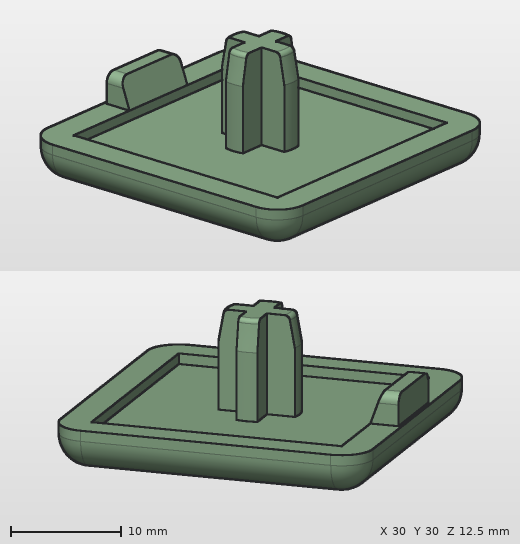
import cadquery as cq
import math

plate_side = 30.0
plate_thickness = 4.0
plate_edge_radius = 3.0
rim_width = 3.0
pocket_depth = 1.0

total_height = 12.5
post_radius = 3.8
post_taper_height = 3.0
post_taper_angle = 10.0
post_tip_fillet = 0.5
arm_width = 2.0

tab_length = 8.2
tab_height = 3.0
tab_setback = 0.3
tab_slope_angle = 20.0
tab_end_radius = 1.0

pocket_side = plate_side - 2 * rim_width
floor_z = plate_thickness - pocket_depth
post_tip_radius = post_radius - post_taper_height * math.tan(math.radians(post_taper_angle))
tab_outer_x = -plate_side / 2 + tab_setback
tab_inner_x = -pocket_side / 2
tab_top_z = plate_thickness + tab_height
tab_slope_run = tab_height * math.tan(math.radians(tab_slope_angle))


def make_plate():
    """Square plate with ball-shaped lower corners and a shallow square pocket."""
    blank = (
        cq.Workplane("XY")
        .rect(plate_side, plate_side)
        .extrude(plate_thickness)
        .edges("|Z or <Z")
        .fillet(plate_edge_radius)
    )
    pocket = (
        cq.Workplane("XY")
        .workplane(offset=floor_z)
        .rect(pocket_side, pocket_side)
        .extrude(pocket_depth)
    )
    return blank.cut(pocket)


def make_post():
    """Cross cut from a round peg whose tip is tapered and rounded."""
    peg = (
        cq.Workplane("XZ")
        .moveTo(0, floor_z)
        .lineTo(post_radius, floor_z)
        .lineTo(post_radius, total_height - post_taper_height)
        .lineTo(post_tip_radius, total_height)
        .lineTo(0, total_height)
        .close()
        .revolve(360, (0, 0), (0, 1))
        .faces(">Z")
        .edges()
        .fillet(post_tip_fillet)
    )
    arm_length = 2 * post_radius + arm_width
    cross = (
        cq.Workplane("XY")
        .workplane(offset=floor_z)
        .rect(arm_length, arm_width)
        .extrude(total_height - floor_z)
    )
    cross = cross.union(cross.rotate((0, 0, 0), (0, 0, 1), 90))
    return peg.intersect(cross)


def make_tab():
    """Tab with an upright outer face, a leaning inner face and rounded top ends."""
    profile = (
        cq.Workplane("XZ")
        .moveTo(tab_outer_x, plate_thickness)
        .lineTo(tab_inner_x, plate_thickness)
        .lineTo(tab_inner_x - tab_slope_run, tab_top_z)
        .lineTo(tab_outer_x, tab_top_z)
        .close()
        .extrude(tab_length / 2, both=True)
    )
    rounded_block = (
        cq.Workplane("YZ")
        .workplane(offset=tab_outer_x)
        .center(0, plate_thickness + tab_height / 2)
        .rect(tab_length, tab_height)
        .extrude(tab_inner_x - tab_outer_x)
        .edges("|X and >Z")
        .fillet(tab_end_radius)
    )
    return profile.intersect(rounded_block)


result = make_plate().union(make_post()).union(make_tab())